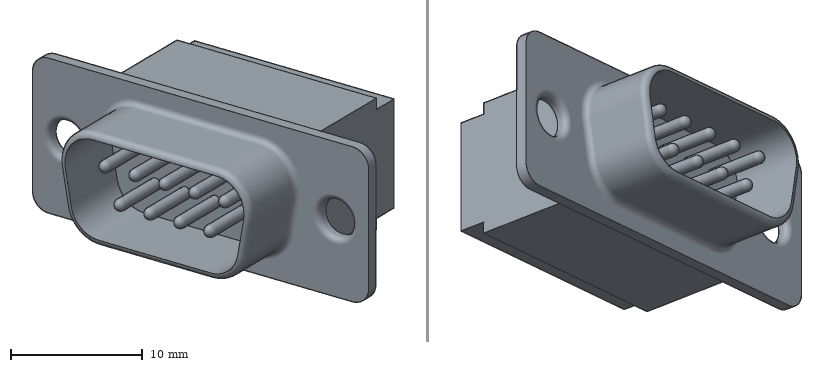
import cadquery as cq
import math

plate_width = 31.2
plate_height = 12.95
plate_thickness = 0.97
plate_corner_radius = 1.5

hole_spacing = 25.0
hole_diameter = 3.12
hole_rim_radius = 0.5

housing_width = 18.5
block_height = 10.98
block_depth = 9.1
cap_height = 9.1
cap_depth = 2.35

pocket_width = 9.9
pocket_length = 1.03
pocket_depth = 0.95
pocket_center_x = -0.15

shell_height = 9.3
shell_mid_width = 17.22
shell_side_angle = 10.0
shell_corner_radius = 3.1
shell_length = 6.08
shell_wall = 0.53
shell_rim_radius = shell_wall
shell_root_radius = 0.5

pin_diameter = 1.0
pin_pitch = 2.78
row_spacing = 2.85
upper_pin_count = 5
lower_pin_count = 4
pin_tip_setback = 0.95


def block_along_y(width, height, front_y, depth):
    """Box centred on X and Z, reaching from front_y towards +Y."""
    return cq.Workplane("XY").box(width, depth, height).translate((0, front_y + depth / 2, 0))


def d_prism(inset, front_y, depth):
    """Prism with the shell's D outline, moved inwards by inset, from front_y towards +Y."""
    angle = math.radians(shell_side_angle)
    half_height = shell_height / 2 - inset
    half_mid = shell_mid_width / 2 - inset / math.cos(angle)
    side_run = half_height * math.tan(angle)
    outline = [
        (-half_mid - side_run, half_height),
        (half_mid + side_run, half_height),
        (half_mid - side_run, -half_height),
        (-half_mid + side_run, -half_height),
    ]
    prism = cq.Workplane("XZ").polyline(outline).close().extrude(-depth)
    prism = prism.edges("|Y").fillet(shell_corner_radius - inset)
    return prism.translate((0, front_y, 0))


def make_plate():
    plate = block_along_y(plate_width, plate_height, 0, plate_thickness)
    return plate.edges("|Y").fillet(plate_corner_radius)


def cut_mounting_holes(body):
    """Through holes, each widened at the front by a quarter-round rim."""
    radius = hole_diameter / 2
    rim = radius + hole_rim_radius
    arc_offset = hole_rim_radius * (1 - math.sqrt(0.5))
    cutter = (
        cq.Workplane("XY")
        .lineTo(rim, 0)
        .threePointArc((radius + arc_offset, arc_offset), (radius, hole_rim_radius))
        .lineTo(radius, plate_thickness)
        .lineTo(0, plate_thickness)
        .close()
        .revolve(360, (0, 0), (0, 1))
    )
    for side in (-1, 1):
        body = body.cut(cutter.translate((side * hole_spacing / 2, 0, 0)))
    return body


def make_housing():
    block = block_along_y(housing_width, block_height, plate_thickness, block_depth)
    cap_front = plate_thickness + block_depth
    cap = block_along_y(housing_width, cap_height, cap_front, cap_depth)
    pocket = block_along_y(pocket_width, pocket_depth, cap_front, pocket_length)
    pocket_center_z = (cap_height - pocket_depth) / 2
    return block.union(cap.cut(pocket.translate((pocket_center_x, 0, pocket_center_z))))


def make_pin(x, z):
    """Round pin with a domed front end, standing on the cavity floor."""
    radius = pin_diameter / 2
    tip_y = -shell_length + pin_tip_setback
    pin = cq.Workplane("XZ").circle(radius).extrude(tip_y + radius)
    pin = pin.union(cq.Workplane("XZ").sphere(radius))
    return pin.translate((x, tip_y + radius, z))


def add_pin_row(body, count, z):
    for i in range(count):
        x = (i - (count - 1) / 2) * pin_pitch
        body = body.union(make_pin(x, z))
    return body


def add_shell(body):
    """Join the shell to the plate, rounding its front rim and the corner at its root."""
    shell = d_prism(0, -shell_length, shell_length)
    shell = shell.faces("<Y").edges().fillet(shell_rim_radius)
    body = body.union(shell)
    frame_x = shell_mid_width / 2 + shell_root_radius
    frame_z = shell_height / 2 + shell_root_radius
    frame_y = shell_root_radius / 2
    root = cq.selectors.BoxSelector(
        (-frame_x, -frame_y, -frame_z), (frame_x, frame_y, frame_z), boundingbox=True
    )
    return body.edges(root).fillet(shell_root_radius)


result = add_shell(make_plate())
result = cut_mounting_holes(result)
result = result.union(make_housing())
result = result.cut(d_prism(shell_wall, -shell_length, shell_length))
result = add_pin_row(result, upper_pin_count, row_spacing / 2)
result = add_pin_row(result, lower_pin_count, -row_spacing / 2)